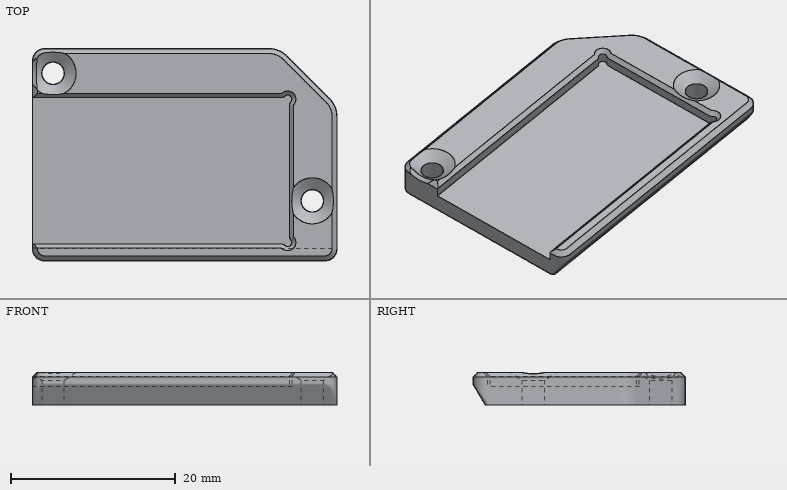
import cadquery as cq
import math

LENGTH = 37.0
WIDTH = 25.8
THICKNESS = 4.0
CORNER_RADIUS = 1.5
CORNER_CUT = 7.0
CUT_CORNER_RADIUS = 3.0
TOP_CHAMFER = 0.6

SLOPE_HEIGHT = 2.55
SLOPE_DEPTH = 1.5
SLOPE_EDGE_FILLET = 0.45

POCKET_FLOOR = 2.3
POCKET_END = 31.2
POCKET_FRONT = 2.05
POCKET_BACK = 19.85
POCKET_CHAMFER = 0.5
RELIEF_RADIUS = 0.5
RELIEF_INSET = 0.2
RELIEF_BLEND = 0.65

HOLE_MARGIN = 3.0
HOLE_DIAMETER = 2.7
SINK_DIAMETER = 5.6
SINK_DEPTH = 1.0
CORNER_HOLE = (2.5, WIDTH - HOLE_MARGIN)
SIDE_HOLE = (LENGTH - HOLE_MARGIN, 7.3)

OVERRUN = 5.0


def plate_blank():
    """Rounded plate with one cut corner and the sloped, rounded front underside."""
    plate = (
        cq.Workplane("XY")
        .polyline([
            (0, 0),
            (LENGTH, 0),
            (LENGTH, WIDTH - CORNER_CUT),
            (LENGTH - CORNER_CUT, WIDTH),
            (0, WIDTH),
        ])
        .close()
        .extrude(THICKNESS)
    )
    plate = plate.edges("|Z and (<X or <Y)").fillet(CORNER_RADIUS)
    for x, y in ((LENGTH, WIDTH - CORNER_CUT), (LENGTH - CORNER_CUT, WIDTH)):
        cut_corner = cq.selectors.NearestToPointSelector((x, y, THICKNESS / 2))
        plate = plate.edges("|Z").edges(cut_corner).fillet(CUT_CORNER_RADIUS)
    plate = plate.faces(">Z").edges().chamfer(TOP_CHAMFER)

    wedge = (
        cq.Workplane("YZ")
        .polyline([(0, SLOPE_HEIGHT), (0, 0), (SLOPE_DEPTH, 0)])
        .close()
        .extrude(LENGTH)
    )
    plate = plate.cut(wedge)
    slope_middle = (LENGTH / 2, SLOPE_DEPTH / 2, SLOPE_HEIGHT / 2)
    slope_face = plate.faces(cq.selectors.NearestToPointSelector(slope_middle))
    return slope_face.edges("not(<Z)").fillet(SLOPE_EDGE_FILLET)


def pocket_outline(z):
    """Closed pocket contour with a blended round relief in both inner corners."""
    reach = RELIEF_RADIUS + RELIEF_BLEND
    rise = RELIEF_BLEND + RELIEF_INSET
    run = math.sqrt(reach ** 2 - rise ** 2)
    wall_start = RELIEF_INSET + run
    touch_along = RELIEF_INSET + run * RELIEF_RADIUS / reach
    touch_out = rise * RELIEF_RADIUS / reach - RELIEF_INSET
    half_turn = (math.pi / 2 - math.atan2(rise, run)) / 2
    mid_along = wall_start - RELIEF_BLEND * math.sin(half_turn)
    mid_out = RELIEF_BLEND * (1 - math.cos(half_turn))
    tip = RELIEF_RADIUS * math.sqrt(0.5) - RELIEF_INSET

    def front(along, out):
        return (POCKET_END - along, POCKET_FRONT - out)

    def front_end(along, out):
        return (POCKET_END + out, POCKET_FRONT + along)

    def back_end(along, out):
        return (POCKET_END + out, POCKET_BACK - along)

    def back(along, out):
        return (POCKET_END - along, POCKET_BACK + out)

    return (
        cq.Workplane("XY", origin=(0, 0, z))
        .moveTo(-OVERRUN, POCKET_FRONT)
        .lineTo(*front(wall_start, 0))
        .threePointArc(front(mid_along, mid_out), front(touch_along, touch_out))
        .threePointArc((POCKET_END + tip, POCKET_FRONT - tip), front_end(touch_along, touch_out))
        .threePointArc(front_end(mid_along, mid_out), front_end(wall_start, 0))
        .lineTo(*back_end(wall_start, 0))
        .threePointArc(back_end(mid_along, mid_out), back_end(touch_along, touch_out))
        .threePointArc((POCKET_END + tip, POCKET_BACK + tip), back(touch_along, touch_out))
        .threePointArc(back(mid_along, mid_out), back(wall_start, 0))
        .lineTo(-OVERRUN, POCKET_BACK)
        .close()
    )


def pocket_tool():
    """Straight-walled pocket with a 45 degree flare at the top."""
    chamfer_start = THICKNESS - POCKET_CHAMFER
    walls = pocket_outline(POCKET_FLOOR).extrude(chamfer_start - POCKET_FLOOR)
    flare = pocket_outline(chamfer_start).extrude(POCKET_CHAMFER, taper=-45)
    return walls.union(flare)


def screw_hole_tool(center):
    """Through hole with a conical countersink flush with the top face."""
    hole = cq.Workplane("XY").center(*center).circle(HOLE_DIAMETER / 2).extrude(THICKNESS)
    sink = (
        cq.Workplane("XY", origin=(*center, THICKNESS))
        .circle(SINK_DIAMETER / 2)
        .workplane(offset=-SINK_DEPTH)
        .circle(HOLE_DIAMETER / 2)
        .loft()
    )
    return hole.union(sink)


def sink_lip_tool():
    """Material removed by chamfering the lip where the countersink breaks the left face."""
    block = (
        cq.Workplane("XY", origin=(0, CORNER_HOLE[1], 0))
        .box(2 * OVERRUN, 2 * OVERRUN, THICKNESS, centered=(False, True, False))
        .cut(screw_hole_tool(CORNER_HOLE))
    )
    chamfered = block.faces("<X").edges("not(<Z or <Y or >Y)").chamfer(TOP_CHAMFER)
    return block.cut(chamfered)


result = plate_blank().cut(pocket_tool())
for hole_center in (CORNER_HOLE, SIDE_HOLE):
    result = result.cut(screw_hole_tool(hole_center))
result = result.cut(sink_lip_tool())